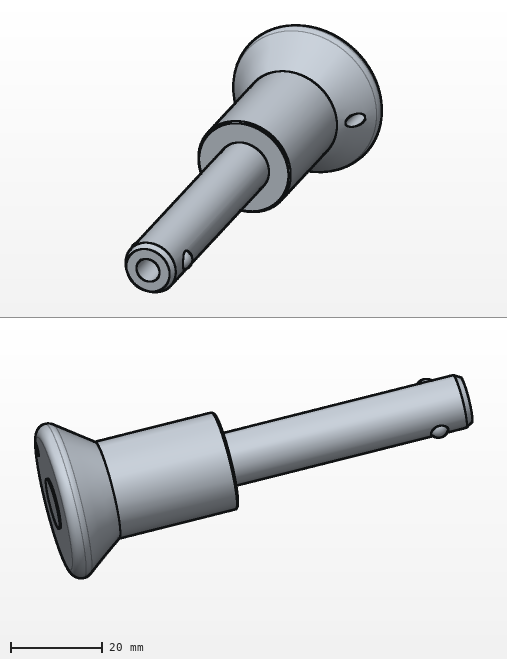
import cadquery as cq
import math

total_length = 94.4
handle_length = 39.4
pin_length = total_length - handle_length

sleeve_radius = 22.0 / 2
sleeve_length = 27.0
sleeve_edge_chamfer = 0.4
head_radius = 35.0 / 2
rim_radius = 2.5
button_radius = 5.7
button_height = 0.3

pin_radius = 12.0 / 2
tip_chamfer_length = 1.5
tip_chamfer_depth = 0.85
tip_hole_diameter = 5.5
tip_hole_depth = 9.4

ball_radius = 4.5 / 2
ball_reach = 7.2
ball_from_tip = 7.7

lanyard_hole_diameter = 3.0
lanyard_hole_offset = 13.8


def rim_point(center, angle):
    """Point on the rounded rim, at an angle in radians from the radial direction."""
    return (center[0] + rim_radius * math.cos(angle), center[1] + rim_radius * math.sin(angle))


def make_handle():
    """Sleeve, flared head with a rounded rim, and a low round button on its end."""
    head_top = handle_length - button_height
    rim_center = (head_radius - rim_radius, head_top - rim_radius)

    to_sleeve_x = sleeve_radius - rim_center[0]
    to_sleeve_y = sleeve_length - rim_center[1]
    to_sleeve = math.hypot(to_sleeve_x, to_sleeve_y)
    tangent_angle = math.atan2(to_sleeve_y, to_sleeve_x) + math.acos(rim_radius / to_sleeve)

    profile = (
        cq.Workplane("XY")
        .lineTo(sleeve_radius - sleeve_edge_chamfer, 0)
        .lineTo(sleeve_radius, sleeve_edge_chamfer)
        .lineTo(sleeve_radius, sleeve_length)
        .lineTo(*rim_point(rim_center, tangent_angle))
        .threePointArc(rim_point(rim_center, tangent_angle / 2), rim_point(rim_center, 0))
        .threePointArc(rim_point(rim_center, math.pi / 4), (rim_center[0], head_top))
        .lineTo(button_radius, head_top)
        .lineTo(button_radius, handle_length)
        .lineTo(0, handle_length)
        .close()
    )
    return profile.revolve(360, (0, 0), (0, 1))


def make_pin():
    """Straight shank with a bevelled tip, overlapping the sleeve for a solid joint."""
    profile = (
        cq.Workplane("XY")
        .moveTo(0, -pin_length)
        .lineTo(pin_radius - tip_chamfer_depth, -pin_length)
        .lineTo(pin_radius, -pin_length + tip_chamfer_length)
        .lineTo(pin_radius, sleeve_length)
        .lineTo(0, sleeve_length)
        .close()
    )
    return profile.revolve(360, (0, 0), (0, 1))


def make_y_cylinder(diameter, x, y_start, length):
    """Cylinder running toward +Y from y_start."""
    return cq.Workplane(cq.Solid.makeCylinder(
        diameter / 2, length, cq.Vector(x, y_start, 0), cq.Vector(0, 1, 0)))


result = make_handle().union(make_pin())

for side in (-1, 1):
    ball_x = side * (ball_reach - ball_radius)
    ball = cq.Workplane("XY").sphere(ball_radius).translate((ball_x, ball_from_tip - pin_length, 0))
    result = result.union(ball)

result = result.cut(make_y_cylinder(tip_hole_diameter, 0, -pin_length, tip_hole_depth))

result = result.cut(make_y_cylinder(lanyard_hole_diameter, lanyard_hole_offset, 0, handle_length))